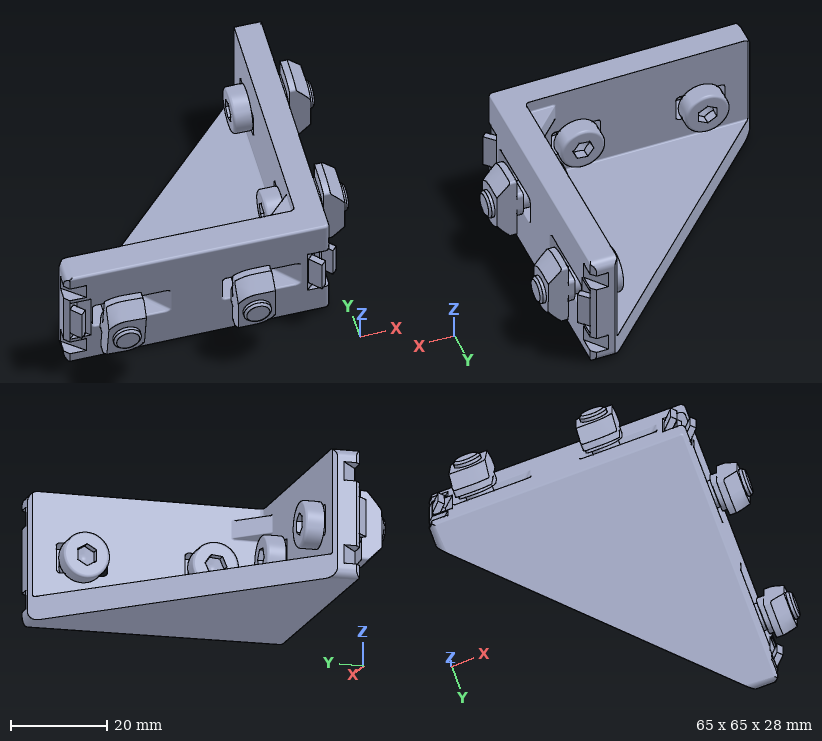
import cadquery as cq
import math


leg = 57.0
height = 28.0
wall = 6.0
web = 5.15
web_tilt = 0.8
end_chamfer = 1.05
web_edge_setback = 0.85
web_edge = leg + wall - web_edge_setback
end_round = 2.0
rim_round = 0.6
corner_round = 1.0
web_round = 0.4
far = 2 * leg

bolt_places = (17.5, 45.5)
slot_length = 11.05
slot_height = 6.5
slot_outer_height = 6.9
slot_corner_round = 0.85
slot_rim_round = 0.4

key_height = 3.95
key_level = 9.0
gusset_leg = 6.9
gusset_round = 0.4
gusset_edge_round = 0.25
notch_along = 4.6
notch_across = 3.7
pocket_height = 12.1
tab_height = 8.0
tab_thickness = 1.4
end_pocket_depth = 2.15
end_pocket_length = 4.55
end_tab_offset = 0.05
end_tab_length = 2.85
corner_pocket_reach = 4.8
corner_pocket_depth = 2.1
corner_pocket_ridge = (1.95, 1.25)
corner_tab_offset = 0.45
corner_tab_length = 3.25

head_diameter = 10.0
head_height = 4.0
head_round = 0.65
socket_flats = 4.1
socket_depth = 1.95
socket_cone = 1.2
socket_turn = 90
shank_diameter = 6.0
tip_diameter = 4.95
bolt_reach = 8.0
bolt_spins = (-24, 0)

nut_width = 8.0
nut_length = 16.1
nut_bottom = 0.7
nut_shoulder = 2.2
nut_slope_start = 3.7
nut_top = 6.75
nut_collar_round = 1.0
nut_edge_round = 0.5
front_nut_spins = (0, -3)
side_nut_spins = (0, -1)


def nearest(x, y, z):
    return cq.NearestToPointSelector((x, y, z))


def mirrored(shape):
    """The same shape on the other wall: (x, y) becomes (-y, -x)."""
    return shape.mirror((1, 1, 0))


def on_both_walls(shape):
    return shape.union(mirrored(shape))


def prism(points, thickness, level=0):
    """Vertical prism, its mid-height at the given level."""
    return cq.Workplane(origin=(0, 0, level - thickness / 2)).polyline(points).close().extrude(thickness)


def below_tilted_plane(z):
    """Block below the plane that passes the free edge of the web at height z and rises to the corner."""
    tilt = math.radians(web_tilt)
    side = math.sin(tilt) / math.sqrt(2)
    plane = cq.Plane((-leg, web_edge - leg, z), (1, 1, 0), (-side, side, math.cos(tilt)))
    return cq.Workplane(plane).rect(2 * far, 2 * far).extrude(-height)


def make_outer_block():
    block = cq.Workplane().box(leg, leg, height).translate((-leg / 2, leg / 2, 0))
    rounded_ends = block.edges("<X and (<Z or >Z)").fillet(end_round)
    rounded_ends = rounded_ends.intersect(block.edges(">Y and (<Z or >Z)").fillet(end_round))

    block = block.cut(below_tilted_plane(-height / 2))
    block = block.edges(nearest(0, 0, 0)).fillet(corner_round)
    for z in (-height / 2, height / 2):
        block = block.edges(nearest(-leg / 2, 0, z)).fillet(rim_round)
    block = block.intersect(rounded_ends)

    beyond_web_edge = prism([(-leg - far, web_edge - leg - far), (far, web_edge + far), (-far, far)], height)
    end_corner = prism([(-leg, end_chamfer), (-leg + end_chamfer, 0), (-leg, 0)], height)
    return block.cut(beyond_web_edge).cut(on_both_walls(end_corner))


def make_cavity():
    """Space above the web and inside the walls, with the gusset left standing in its corner."""
    web_top = web - height / 2
    cavity = prism([(-wall, wall), (-wall, far), (-far, far), (-far, wall)], 2 * height, height / 2)
    cavity = cavity.cut(below_tilted_plane(web_top))
    cavity = cavity.edges(nearest(-wall, wall, height)).fillet(corner_round)
    cavity = cavity.edges(nearest(-leg / 2, wall, web_top)).fillet(web_round)

    reach = gusset_leg + 2 * wall
    gusset = prism([(0, 0), (-reach, 0), (0, reach)], key_height, key_level)
    middle = wall + gusset_leg / 2
    gusset_faces = (key_level - key_height / 2, key_level + key_height / 2)
    for z in gusset_faces:
        gusset = gusset.edges(nearest(-middle, middle, z)).fillet(gusset_edge_round)
    cavity = cavity.cut(gusset)
    return cavity.edges(nearest(-middle, wall, gusset_faces[1])).fillet(gusset_round)


def make_slot(place):
    """Slot through the wall along X, its side towards the corner sloping at 45 degrees."""
    left = -place - slot_length / 2
    right = -place + slot_length / 2
    slot = prism([(left, wall), (right, wall), (right + wall, 0), (left, 0)], slot_outer_height)
    half_inner = slot_height / 2
    half_outer = slot_outer_height / 2
    taper = cq.Workplane("YZ", origin=(left, 0, 0))
    taper = taper.polyline([(wall, -half_inner), (wall, half_inner), (0, half_outer), (0, -half_outer)])
    slot = slot.intersect(taper.close().extrude(slot_length + wall))
    half_middle = (half_inner + half_outer) / 2
    for x, y in ((left, wall / 2), (right + wall / 2, wall / 2)):
        for z in (-half_middle, half_middle):
            slot = slot.edges(nearest(x, y, z)).fillet(slot_corner_round)
    return slot


def round_slot_rim(body, place):
    """Round the edge where a slot meets the outer face of the wall along X."""
    return body.edges(nearest(-place, 0, slot_outer_height / 2)).fillet(slot_rim_round)


def make_notches():
    """Slanted notches at the end of the wall along X, above and below its middle."""
    outline = [(-leg, notch_across), (-leg + notch_along, 0), (-leg, 0)]
    return prism(outline, key_height, key_level).union(prism(outline, key_height, -key_level))


def make_end_pocket():
    """V-shaped pocket in the outer face, at the end of the wall along X."""
    start = end_chamfer - leg
    outline = [(start, 0), (start + end_pocket_depth, end_pocket_depth), (start + end_pocket_length, 0)]
    return prism(outline, pocket_height)


def make_corner_pocket():
    """Pocket around the outer corner of the bracket, with a flat-topped ridge in its middle."""
    ridge_x, ridge_y = corner_pocket_ridge
    half = [
        (-corner_pocket_reach, 0),
        (-corner_pocket_reach + corner_pocket_depth, corner_pocket_depth),
        (-ridge_x, ridge_y),
    ]
    other_half = [(-y, -x) for x, y in reversed(half)]
    return prism(half + other_half + [(0, 0)], pocket_height)


def make_tab(root_x, offset, length):
    """Tab leaning out at 45 degrees, its root on the pocket side that rises from (root_x, 0)."""
    frame = cq.Plane((root_x, 0, -tab_height / 2), (1, -1, 0), (0, 0, 1))
    tab = cq.Workplane(frame).rect(length, tab_thickness, centered=False).extrude(tab_height)
    along = offset / math.sqrt(2)
    return tab.translate((along, along, 0))


def make_bracket():
    body = make_outer_block().cut(make_cavity())
    for place in bolt_places:
        body = body.cut(on_both_walls(make_slot(place)))
    for place in bolt_places:
        body = round_slot_rim(body, place)
        body = mirrored(round_slot_rim(mirrored(body), place))
    body = body.cut(on_both_walls(make_notches()))
    body = body.cut(on_both_walls(make_end_pocket()))
    body = body.cut(make_corner_pocket())
    end_tab = make_tab(end_chamfer - leg, end_tab_offset, end_tab_length)
    corner_tab = make_tab(-corner_pocket_reach, corner_tab_offset, corner_tab_length)
    return body.union(on_both_walls(end_tab)).union(on_both_walls(corner_tab))



def make_bolt():
    head = cq.Workplane(origin=(0, 0, -wall)).circle(head_diameter / 2).extrude(-head_height)
    head = head.faces("<Z").edges().fillet(head_round)

    radius = socket_flats / 2 / math.cos(math.pi / 6)
    socket_bottom = socket_depth + socket_cone
    head_top = cq.Workplane(origin=(0, 0, -wall - head_height))
    hexagon = head_top.polygon(6, 2 * radius).extrude(socket_bottom).rotate((0, 0, 0), (0, 0, 1), socket_turn)
    pointed = [(0, 0), (radius, 0), (radius, socket_depth), (0, socket_bottom)]
    drill = cq.Workplane("XZ").polyline(pointed).close().revolve(360, (0, 0), (0, 1))
    socket = hexagon.intersect(drill.translate((0, 0, -wall - head_height)))

    shank = cq.Workplane(origin=(0, 0, -wall)).circle(shank_diameter / 2).extrude(wall + bolt_reach)
    shank = shank.faces(">Z").chamfer((shank_diameter - tip_diameter) / 2)
    return head.cut(socket).union(shank)


def with_round_quarters(square_piece, round_piece):
    """Square piece with two opposite quarters, where x and y differ in sign, replaced by the round one."""
    size = nut_length
    for side in (-1, 1):
        quarter = cq.Workplane().box(size, size, size)
        quarter = quarter.translate((side * size / 2, -side * size / 2, 0))
        square_piece = square_piece.cut(quarter)
    return square_piece.union(round_piece)


def make_nut():
    half_width = nut_width / 2
    half_length = nut_length / 2
    half_top = half_length - (nut_top - nut_slope_start)

    collar_height = nut_shoulder - nut_bottom
    collar_base = cq.Workplane(origin=(0, 0, nut_bottom))
    square_collar = collar_base.rect(nut_width, nut_width).extrude(collar_height)
    square_collar = square_collar.edges("|Z").fillet(nut_collar_round)
    collar = with_round_quarters(square_collar, collar_base.circle(half_width).extrude(collar_height))

    shoulder_to_top = [(half_length, nut_shoulder), (half_length, nut_slope_start), (half_top, nut_top)]
    other_side = [(-y, z) for y, z in reversed(shoulder_to_top)]
    half_profile = [(0, nut_shoulder)] + shoulder_to_top + [(0, nut_top)]
    hammer = cq.Workplane("YZ").polyline(shoulder_to_top + other_side).close()
    hammer = hammer.extrude(half_width, both=True)
    round_hammer = cq.Workplane("XZ").polyline(half_profile).close().revolve(360, (0, 0), (0, 1))
    hammer = with_round_quarters(hammer, round_hammer.intersect(hammer))
    hammer = hammer.edges("|Z").edges("<X or >X").fillet(nut_edge_round)

    thread = cq.Workplane().circle(shank_diameter / 2).extrude(nut_top)
    return hammer.union(collar).cut(thread)


def placed(part, frame, spin):
    return part.rotate((0, 0, 0), (0, 0, 1), spin).val().located(cq.Location(frame))


def front_frame(place):
    return cq.Plane((-place, 0, 0), (1, 0, 0), (0, -1, 0))


def side_frame(place):
    return cq.Plane((0, place, 0), (0, 1, 0), (1, 0, 0))


bracket = make_bracket()
bolt = make_bolt()
nut = make_nut()

bolts = []
nuts = []
for place, bolt_spin, front_spin, side_spin in zip(bolt_places, bolt_spins, front_nut_spins, side_nut_spins):
    bolts.append(placed(bolt, front_frame(place), bolt_spin))
    bolts.append(placed(bolt, side_frame(place), bolt_spin))
    nuts.append(placed(nut, front_frame(place), front_spin))
    nuts.append(placed(nut, side_frame(place), side_spin))

result = cq.Compound.makeCompound([bracket.val(), *bolts, *nuts])